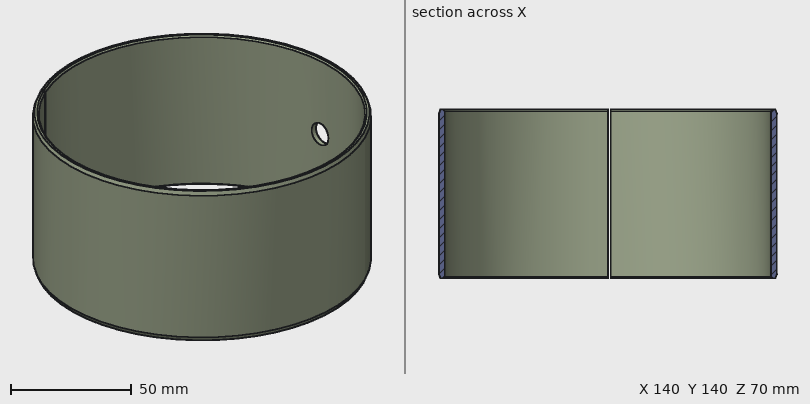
import cadquery as cq

outer_radius = 70.0
wall = 2.5
height = 70.0
inner_radius = outer_radius - wall
half_height = height / 2

outer_chamfer_height = 1.8
outer_chamfer_depth = 0.7
inner_chamfer = 0.75

gap_width = 1.1

hole_diameter = 10.0
hole_angle = 59.2


def sleeve():
    """Revolve the wall section, chamfered at all four corners."""
    outer_flat = half_height - outer_chamfer_height
    inner_flat = half_height - inner_chamfer
    rim_outer = outer_radius - outer_chamfer_depth
    rim_inner = inner_radius + inner_chamfer
    return (
        cq.Workplane("XZ")
        .moveTo(inner_radius, -inner_flat)
        .lineTo(rim_inner, -half_height)
        .lineTo(rim_outer, -half_height)
        .lineTo(outer_radius, -outer_flat)
        .lineTo(outer_radius, outer_flat)
        .lineTo(rim_outer, half_height)
        .lineTo(rim_inner, half_height)
        .lineTo(inner_radius, inner_flat)
        .close()
        .revolve(360, (0, 0, 0), (0, 1, 0))
    )


def joint_gap():
    """Full-height slab that splits the wall on the -X side."""
    return cq.Workplane("XY").box(
        outer_radius, gap_width, height, centered=(True, False, True)
    ).translate((-outer_radius, 0, 0))


def oil_hole():
    """Cylinder from the axis out through the wall on one side only."""
    return (
        cq.Workplane("YZ")
        .circle(hole_diameter / 2)
        .extrude(outer_radius + wall)
        .rotate((0, 0, 0), (0, 0, 1), hole_angle)
    )


result = sleeve().cut(joint_gap()).cut(oil_hole())